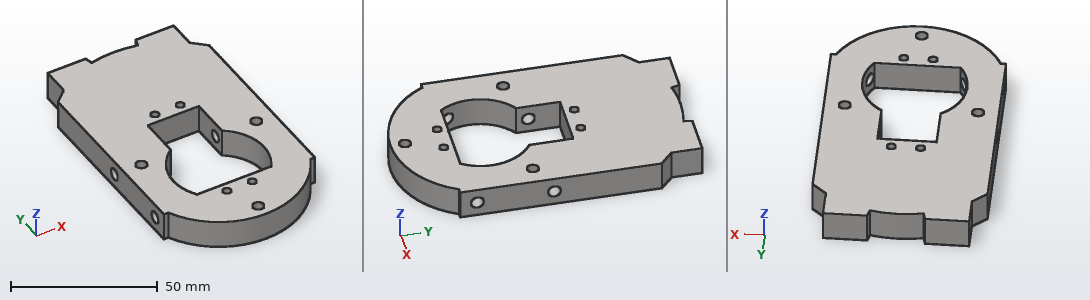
import cadquery as cq
import math

length = 103.4
width = 60.0
thickness = 11.0

end_radius = 31.4
shoulder_y = -13.9
neck_width = 50.0
taper_start_y = 56.7
taper_end_y = 61.2
notch_top_width = 19.8
notch_floor_width = 18.4
notch_depth = 2.9
notch_crown_depth = 1.9

opening_radius = 18.0
opening_flat_y = -10.3
slot_width = 20.3
slot_top_y = 30.2

bolt_circle_radius = 26.4
bolt_hole_diameter = 4.0
bolt_count = 3
pin_hole_diameter = 3.0
pin_spacing = 10.0
pin_rows_y = (-14.0, 34.0)
cross_hole_diameter = 4.4
cross_holes_y = (-7.9, 19.1)

top_y = length - end_radius


def make_plate():
    """Outer profile with a rounded end, tapered neck and crowned notch."""
    half_width = width / 2
    half_neck = neck_width / 2
    half_notch_top = notch_top_width / 2
    half_notch_floor = notch_floor_width / 2
    notch_floor_y = top_y - notch_depth
    shoulder_x = math.sqrt(end_radius**2 - shoulder_y**2)
    return (
        cq.Workplane("XY")
        .moveTo(-shoulder_x, shoulder_y)
        .threePointArc((0, -end_radius), (shoulder_x, shoulder_y))
        .lineTo(half_width, shoulder_y)
        .lineTo(half_width, taper_start_y)
        .lineTo(half_neck, taper_end_y)
        .lineTo(half_neck, top_y)
        .lineTo(half_notch_top, top_y)
        .lineTo(half_notch_floor, notch_floor_y)
        .threePointArc((0, top_y - notch_crown_depth), (-half_notch_floor, notch_floor_y))
        .lineTo(-half_notch_top, top_y)
        .lineTo(-half_neck, top_y)
        .lineTo(-half_neck, taper_end_y)
        .lineTo(-half_width, taper_start_y)
        .lineTo(-half_width, shoulder_y)
        .close()
        .extrude(thickness)
    )


def make_opening():
    """Keyhole-shaped cutter for the central opening."""
    half_slot = slot_width / 2
    slot_base_y = math.sqrt(opening_radius**2 - half_slot**2)
    half_flat = math.sqrt(opening_radius**2 - opening_flat_y**2)
    return (
        cq.Workplane("XY")
        .moveTo(-half_flat, opening_flat_y)
        .lineTo(half_flat, opening_flat_y)
        .threePointArc((opening_radius, 0), (half_slot, slot_base_y))
        .lineTo(half_slot, slot_top_y)
        .lineTo(-half_slot, slot_top_y)
        .lineTo(-half_slot, slot_base_y)
        .threePointArc((-opening_radius, 0), (-half_flat, opening_flat_y))
        .close()
        .extrude(thickness)
    )


def make_vertical_holes():
    """Cutters for the bolt circle and the two rows of pin holes."""
    bolts = (
        cq.Workplane("XY")
        .polarArray(bolt_circle_radius, -90, 360, bolt_count)
        .circle(bolt_hole_diameter / 2)
        .extrude(thickness)
    )
    pin_points = [(side * pin_spacing / 2, y) for y in pin_rows_y for side in (-1, 1)]
    pins = (
        cq.Workplane("XY")
        .pushPoints(pin_points)
        .circle(pin_hole_diameter / 2)
        .extrude(thickness)
    )
    return bolts.add(pins).combine()


def make_cross_holes():
    """Cutters running along X through both side walls at mid thickness."""
    return (
        cq.Workplane("YZ")
        .pushPoints([(y, thickness / 2) for y in cross_holes_y])
        .circle(cross_hole_diameter / 2)
        .extrude(width / 2, both=True)
    )


result = make_plate().cut(make_opening()).cut(make_vertical_holes()).cut(make_cross_holes())